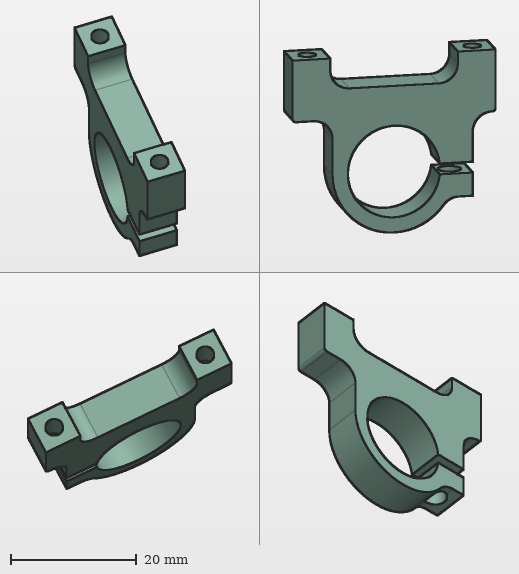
import cadquery as cq
import math

width = 33.02
thickness = 6.35
height = 29.1

ring_radius = 10.0
bore_radius = 7.5
slit_width = 1.75
jaw_reach = 12.8
jaw_bottom = -4.7
jaw_blend_radius = 3.0
jaw_hole_diameter = 3.63
jaw_hole_x = 9.7

lug_width = 6.15
lug_height = 10.15
recess_depth = 5.05
inner_radius = 3.1
corner_radius = 0.55
lug_hole_diameter = 2.77
lug_hole_depth = 7.25
drill_point_angle = 118.0

half_width = width / 2
top = height - ring_radius
lug_bottom = top - lug_height
recess_floor = top - recess_depth
recess_half = half_width - lug_width
diagonal = math.sqrt(0.5)

blend_z = jaw_bottom - jaw_blend_radius
blend_x = math.sqrt((ring_radius + jaw_blend_radius) ** 2 - blend_z**2)
blend_angle = math.atan2(blend_z, blend_x)


def polar(radius, angle, center=(0, 0)):
    return (center[0] + radius * math.cos(angle), center[1] + radius * math.sin(angle))


def round_corner(path, center, radius, middle, end):
    """Add a quarter arc; middle and end are sign pairs pointing from its centre."""
    reach = radius * diagonal
    through = (center[0] + middle[0] * reach, center[1] + middle[1] * reach)
    finish = (center[0] + end[0] * radius, center[1] + end[1] * radius)
    return path.threePointArc(through, finish)


def make_body():
    recess_center_x = recess_half - inner_radius
    recess_center_z = recess_floor + inner_radius
    under_z = lug_bottom - inner_radius
    corner_x = half_width - corner_radius
    corner_z = lug_bottom + corner_radius

    path = cq.Workplane("XZ").moveTo(-half_width, top).lineTo(-recess_half, top)
    path = path.lineTo(-recess_half, recess_center_z)
    path = round_corner(path, (-recess_center_x, recess_center_z), inner_radius, (-1, -1), (0, -1))
    path = path.lineTo(recess_center_x, recess_floor)
    path = round_corner(path, (recess_center_x, recess_center_z), inner_radius, (1, -1), (1, 0))
    path = path.lineTo(recess_half, top).lineTo(half_width, top).lineTo(half_width, corner_z)
    path = round_corner(path, (corner_x, corner_z), corner_radius, (1, -1), (0, -1))
    path = path.lineTo(jaw_reach + inner_radius, lug_bottom)
    path = round_corner(path, (jaw_reach + inner_radius, under_z), inner_radius, (-1, 1), (-1, 0))
    path = path.lineTo(jaw_reach, jaw_bottom).lineTo(blend_x, jaw_bottom)
    blend_middle = (math.pi / 2 + blend_angle + math.pi) / 2
    path = path.threePointArc(
        polar(jaw_blend_radius, blend_middle, (blend_x, blend_z)),
        polar(ring_radius, blend_angle),
    )
    path = path.threePointArc((0, -ring_radius), (-ring_radius, 0))
    path = path.lineTo(-ring_radius, under_z)
    path = round_corner(path, (-ring_radius - inner_radius, under_z), inner_radius, (1, 1), (0, 1))
    path = path.lineTo(-corner_x, lug_bottom)
    path = round_corner(path, (-corner_x, corner_z), corner_radius, (-1, -1), (-1, 0))
    return path.close().extrude(thickness / 2, both=True)


def make_bore_and_slit():
    bore = cq.Workplane("XZ").circle(bore_radius).extrude(thickness / 2, both=True)
    slit = cq.Workplane("XY").box(jaw_reach, thickness, slit_width, centered=(False, True, True))
    return bore.union(slit)


def make_lug_hole(x):
    """Blind hole with a conical drill point."""
    radius = lug_hole_diameter / 2
    point_depth = radius / math.tan(math.radians(drill_point_angle / 2))
    profile = [(0, 0), (radius, 0), (radius, -lug_hole_depth), (0, -lug_hole_depth - point_depth)]
    hole = cq.Workplane("XZ").polyline(profile).close().revolve(360, (0, 0), (0, 1))
    return hole.translate((x, 0, top))


def make_jaw_hole():
    """Screw hole from the slit down through the lower jaw."""
    return cq.Workplane("XY").center(jaw_hole_x, 0).circle(jaw_hole_diameter / 2).extrude(-ring_radius)


result = make_body().cut(make_bore_and_slit()).cut(make_jaw_hole())
for side in (-1, 1):
    result = result.cut(make_lug_hole(side * (half_width - lug_width / 2)))